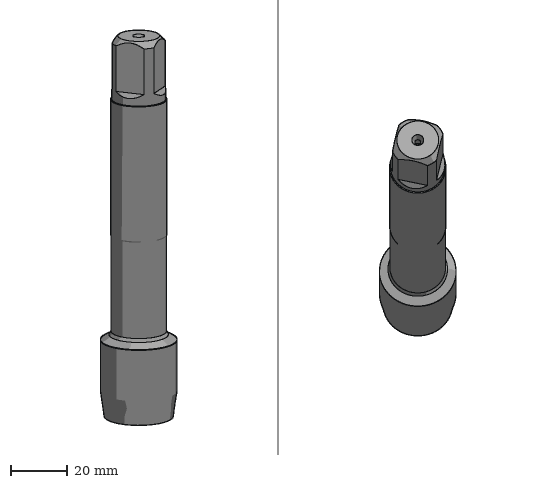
import cadquery as cq
import math

total_length = 140.0

head_diameter = 27.18
head_length = 28.0
lead_tip_diameter = 24.6
lead_length = 9.2

collar_rim_height = 0.3
collar_top_diameter = 21.1
collar_slope_degrees = 30
neck_diameter = 19.7
neck_flare_height = 1.25
shank_bottom_z = 67.0
neck_step_height = 0.5
shank_diameter = 20.0
shank_top_z = 116.8
shank_chamfer_height = 0.2

drive_diameter = 19.2
drive_tip_diameter = 14.8
drive_width = 16.0
drive_length = 19.0

centre_hole_diameter = 2.0
centre_mouth_diameter = 4.2
centre_hole_depth = 5.0
centre_cone_half_angle = 30
centre_cone_width = (centre_mouth_diameter - centre_hole_diameter) / 2
centre_cone_depth = centre_cone_width / math.tan(math.radians(centre_cone_half_angle))
drill_point_half_angle = 60
drill_point_depth = centre_hole_diameter / 2 / math.tan(math.radians(drill_point_half_angle))


def make_cutting_head():
    """Cylindrical head with a tapered lead at its lower end."""
    return (
        cq.Workplane("XZ")
        .lineTo(lead_tip_diameter / 2, 0)
        .lineTo(head_diameter / 2, lead_length)
        .lineTo(head_diameter / 2, head_length)
        .lineTo(0, head_length)
        .close()
        .revolve(360, (0, 0), (0, 1))
    )


def make_round_shank():
    """Rimmed conical collar, flared neck, shank and round drive blank, turned as one profile."""
    rim_top_z = head_length + collar_rim_height
    collar_width = (head_diameter - collar_top_diameter) / 2
    collar_top_z = rim_top_z + collar_width * math.tan(math.radians(collar_slope_degrees))
    neck_radius = neck_diameter / 2
    tip_radius = drive_tip_diameter / 2
    drive_radius = drive_diameter / 2
    tip_chamfer = drive_radius - tip_radius
    return (
        cq.Workplane("XZ")
        .moveTo(0, head_length)
        .lineTo(head_diameter / 2, head_length)
        .lineTo(head_diameter / 2, rim_top_z)
        .lineTo(collar_top_diameter / 2, collar_top_z)
        .lineTo(neck_radius, collar_top_z + neck_flare_height)
        .lineTo(neck_radius, shank_bottom_z - neck_step_height)
        .lineTo(shank_diameter / 2, shank_bottom_z)
        .lineTo(shank_diameter / 2, shank_top_z - shank_chamfer_height)
        .lineTo(drive_radius, shank_top_z)
        .lineTo(drive_radius, total_length - tip_chamfer)
        .lineTo(tip_radius, total_length)
        .lineTo(0, total_length)
        .close()
        .revolve(360, (0, 0), (0, 1))
    )


def make_flat_cutter():
    """Block that mills one drive flat, with a floor falling outward at 45 degrees."""
    flat = drive_width / 2
    outside = shank_diameter / 2
    floor_z = total_length - drive_length
    return (
        cq.Workplane("XZ")
        .moveTo(flat, total_length)
        .lineTo(flat, floor_z)
        .lineTo(outside, floor_z - (outside - flat))
        .lineTo(outside, total_length)
        .close()
        .extrude(outside, both=True)
    )


def make_centre_hole():
    """Centre-drilled hole with a 60 degree conical mouth and a drill-point bottom."""
    cone_bottom_z = total_length - centre_cone_depth
    return (
        cq.Workplane("XZ")
        .moveTo(0, total_length)
        .lineTo(centre_mouth_diameter / 2, total_length)
        .lineTo(centre_hole_diameter / 2, cone_bottom_z)
        .lineTo(centre_hole_diameter / 2, total_length - centre_hole_depth)
        .lineTo(0, total_length - centre_hole_depth - drill_point_depth)
        .close()
        .revolve(360, (0, 0), (0, 1))
    )


def make_shank():
    """Shank with its square drive and centre hole."""
    body = make_round_shank()
    for side in range(4):
        body = body.cut(make_flat_cutter().rotate((0, 0, 0), (0, 0, 1), 90 * side))
    return body.cut(make_centre_hole())


cutting_head = make_cutting_head()
shank = make_shank()

result = cq.Compound.makeCompound([cutting_head.val(), shank.val()])